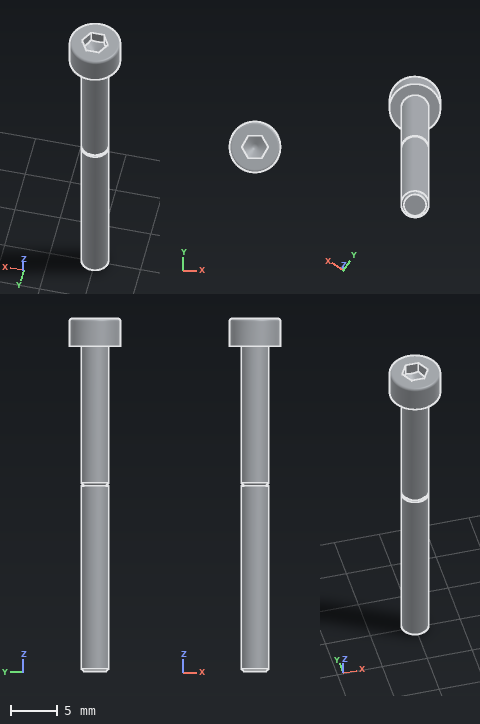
import cadquery as cq
import math

total_length = 38.0
head_diameter = 5.5
head_height = 3.0
head_fillet = 0.3
shank_diameter = 3.0
end_chamfer = 0.3

thread_length = 20.0

socket_across_flats = 2.47
socket_wall_depth = 1.3
socket_cone_depth = 0.85

head_bottom = total_length - head_height
head_radius = head_diameter / 2
shank_radius = shank_diameter / 2
socket_across_corners = socket_across_flats / math.cos(math.pi / 6)


def make_socket():
    """Hexagonal prism whose lower end is trimmed to a cone."""
    corner_radius = socket_across_corners / 2
    wall_bottom = total_length - socket_wall_depth
    cone_tip = wall_bottom - socket_cone_depth
    hexagon = (
        cq.Workplane("XY")
        .workplane(offset=cone_tip)
        .polygon(6, socket_across_corners)
        .extrude(total_length - cone_tip)
    )
    pointed_cylinder = (
        cq.Workplane("XZ")
        .moveTo(0, cone_tip)
        .lineTo(corner_radius, wall_bottom)
        .lineTo(corner_radius, total_length)
        .lineTo(0, total_length)
        .close()
        .revolve(360, (0, 0, 0), (0, 1, 0))
    )
    return hexagon.intersect(pointed_cylinder)


def make_cylinder_with_chamfered_foot(bottom, length):
    """Length of screw shaft, chamfered around its lower end."""
    return (
        cq.Workplane("XY")
        .workplane(offset=bottom)
        .circle(shank_radius)
        .extrude(length)
        .faces("<Z")
        .chamfer(end_chamfer)
    )


def make_head_and_shank():
    """Socket head in one piece with the plain shank below it."""
    head = (
        cq.Workplane("XY")
        .workplane(offset=head_bottom)
        .circle(head_radius)
        .extrude(head_height)
        .faces(">Z")
        .edges()
        .fillet(head_fillet)
    )
    shank = make_cylinder_with_chamfered_foot(thread_length, head_bottom - thread_length)
    return head.union(shank).cut(make_socket())


def make_threaded_section():
    """Lower part of the screw, with its flat top touching the shank's foot."""
    return make_cylinder_with_chamfered_foot(0, thread_length)


head_and_shank = make_head_and_shank()
threaded_section = make_threaded_section()

result = cq.Compound.makeCompound([head_and_shank.val(), threaded_section.val()])